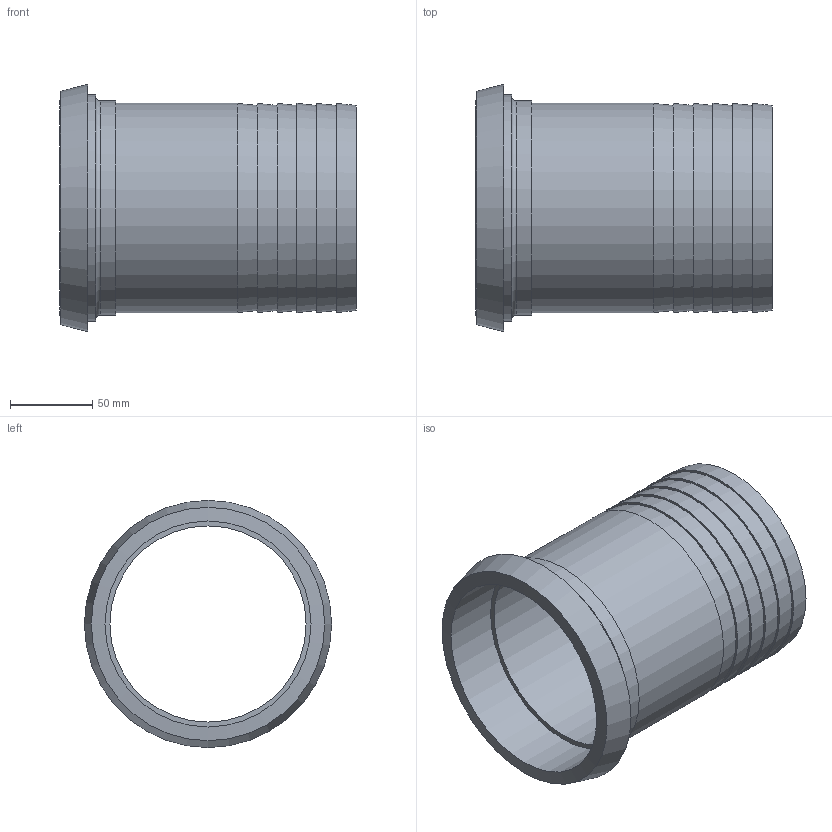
import cadquery as cq


total_length = 180.0
flange_back_x = 17.0
shoulder_length = 5.0
collar_end_x = 34.0
face_rake = 0.6
barb_count = 6
barb_pitch = 12.0
socket_depth = 34.0

flange_radius = 150.0 / 2
flange_front_radius = 70.8
shoulder_radius = 137.3 / 2
collar_radius = 130.0 / 2
sleeve_radius = 127.0 / 2
barb_depth = 1.35
barb_root_radius = sleeve_radius - barb_depth
socket_radius = 125.0 / 2
bore_radius = 119.0 / 2
fillet_radius = 2.5

shoulder_end_x = flange_back_x + shoulder_length
barb_start_x = total_length - barb_count * barb_pitch


def draw_flange_and_collar(profile):
    """Outside outline from the socket mouth to the start of the plain sleeve."""
    return (
        profile.lineTo(face_rake, flange_front_radius)
        .lineTo(flange_back_x, flange_radius)
        .lineTo(flange_back_x, shoulder_radius)
        .lineTo(shoulder_end_x, shoulder_radius)
        .lineTo(shoulder_end_x, collar_radius + fillet_radius)
        .radiusArc((shoulder_end_x + fillet_radius, collar_radius), -fillet_radius)
        .lineTo(collar_end_x, collar_radius)
        .lineTo(collar_end_x, sleeve_radius)
    )


def draw_barbs(profile):
    """Saw-tooth outline: each barb tapers towards the hose end, then steps back up."""
    for index in range(barb_count):
        barb_x = barb_start_x + index * barb_pitch
        profile = profile.lineTo(barb_x, sleeve_radius)
        profile = profile.lineTo(barb_x + barb_pitch, barb_root_radius)
    return profile


def draw_inside(profile):
    """Through bore with a wider socket at the flange end."""
    return (
        profile.lineTo(total_length, bore_radius)
        .lineTo(socket_depth, bore_radius)
        .lineTo(socket_depth, socket_radius)
        .close()
    )


half_section = cq.Workplane("XY").moveTo(0, socket_radius)
half_section = draw_flange_and_collar(half_section)
half_section = draw_barbs(half_section)
half_section = draw_inside(half_section)

result = half_section.revolve(360, (0, 0, 0), (1, 0, 0))